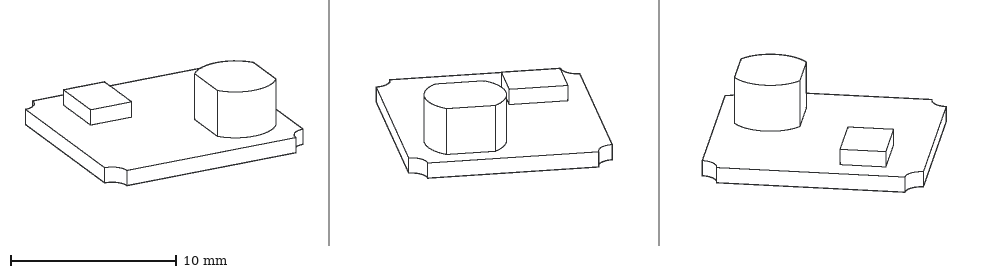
import cadquery as cq

board_x = 12.5
board_y = 13.5
board_thickness = 1.0
notch_radius = 1.0

pad_side = 2.0
pad_thickness = 0.2

can_diameter = 5.0
can_across_flats = 4.0
can_height = 3.0
can_center = (2.4, 3.6)

chip_x = 3.6
chip_y = 2.8
chip_height = 1.0
chip_center = (-3.0, -3.0)

corners = [(sx * board_x / 2, sy * board_y / 2) for sx in (-1, 1) for sy in (-1, 1)]


def block(size_x, size_y, height, center=(0, 0), base=0):
    """Upright rectangular block standing on the level base."""
    return (
        cq.Workplane("XY", origin=(*center, base))
        .rect(size_x, size_y)
        .extrude(height)
    )


def make_board():
    notches = cq.Workplane("XY").pushPoints(corners).circle(notch_radius).extrude(board_thickness)
    return block(board_x, board_y, board_thickness).cut(notches)


def make_pads(board):
    squares = (
        cq.Workplane("XY")
        .pushPoints(corners)
        .rect(2 * pad_side, 2 * pad_side)
        .extrude(pad_thickness)
    )
    return board.intersect(squares)


def make_can():
    cylinder = (
        cq.Workplane("XY", origin=(*can_center, board_thickness))
        .circle(can_diameter / 2)
        .extrude(can_height)
    )
    flats = block(can_diameter, can_across_flats, can_height, can_center, board_thickness)
    return cylinder.intersect(flats)


def make_chip():
    return block(chip_x, chip_y, chip_height, chip_center, board_thickness)


board = make_board()
pads = make_pads(board)

result = (
    board.cut(pads)
    .union(pads, clean=False)
    .union(make_can(), clean=False)
    .union(make_chip(), clean=False)
)